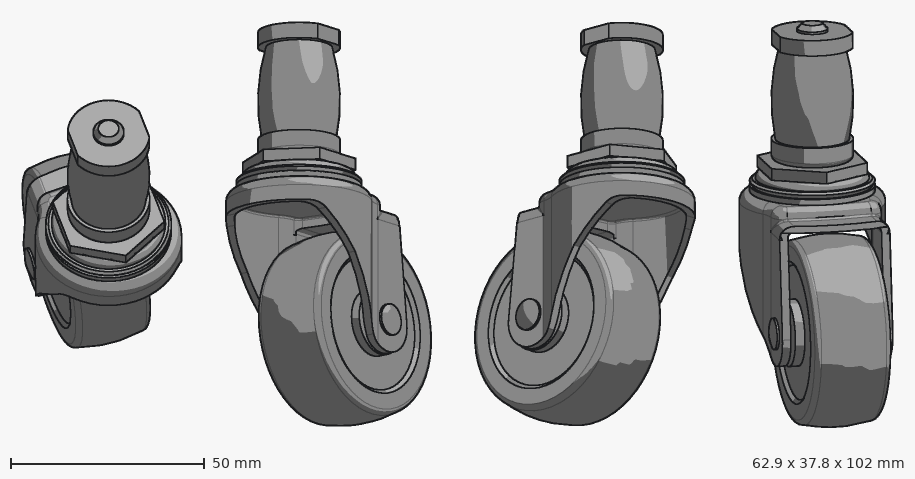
import cadquery as cq
import math


wheel_radius = 25.0
wheel_x = -19.0
wheel_half_width = 10.1
tread_edge_radius = 24.0
shoulder = 1.4
recess_outer_radius = 18.5
recess_inner_radius = 17.4
recess_depth = 1.0
hub_radius = 8.7
hub_half_width = 11.6

axle_radius = 3.1
head_radius = 4.1
head_rim = 0.6
head_dome = 0.9

sheet = 2.2
crown_radius = 18.9
crown_top = 57.6
crown_rounding = 2.9
crown_front_x = -18.6
crown_front_sag = 1.4
crown_corner_radius = 4.1
skirt_bottom = 50.8
leg_half_width = 14.7
leg_flat_end_x = -14.2
plate_top = 54.5
plate_thickness = 1.8
plate_root_radius = 0.6
plate_front_x = -25.3
plate_side_x = -23.1
bend_radius = 3.7
foot_x = -18.5
foot_z = 24.2
foot_radius = 7.8
rear_bend = (0.5, 38.8)
rear_top_x = 10.9
rear_rounding = 5.1

seat_radius = 16.2
seat_top = 59.2
lip_neck_radius = 15.5
lip_edge_z = 60.3
lip_top = 60.9
dome_radius = 14.7
nut_bottom = 62.8
dome_rounding = 1.6
nut_top = 65.9
nut_across_flats = 25.5
collar_radius = 10.6
collar_rounding = 1.4
collar_top = 71.4
barrel_bottom_radius = 9.6
barrel_middle_radius = 10.6
barrel_middle_z = 82.6
barrel_top_radius = 8.6
cap_bottom = 95.9
cap_top = 100.0
cap_half_flats = 9.7
nose_radius = 4.0
nose_top_radius = 2.7
nose_shoulder_z = 100.6
stem_top = 102.0


def place_on_axle(solid_about_y):
    """Move a solid turned about the Y axis onto the wheel axle."""
    return solid_about_y.translate((wheel_x, 0, wheel_radius))


def along_axle(radius, half_length):
    """Cylinder on the axle line, centred on Y = 0."""
    rod = cq.Workplane("XZ").circle(radius).extrude(half_length, both=True)
    return place_on_axle(rod)


def make_wheel():
    recess_y = wheel_half_width - recess_depth
    shoulder_y = wheel_half_width - shoulder
    side_radius = tread_edge_radius - shoulder
    shoulder_reach = shoulder * math.sqrt(0.5)
    shoulder_mid_radius = side_radius + shoulder_reach
    shoulder_mid_y = shoulder_y + shoulder_reach
    profile = (
        cq.Workplane("XY")
        .moveTo(0, -hub_half_width)
        .lineTo(hub_radius, -hub_half_width)
        .lineTo(hub_radius, -recess_y)
        .lineTo(recess_inner_radius, -recess_y)
        .lineTo(recess_outer_radius, -wheel_half_width)
        .lineTo(side_radius, -wheel_half_width)
        .threePointArc((shoulder_mid_radius, -shoulder_mid_y), (tread_edge_radius, -shoulder_y))
        .threePointArc((wheel_radius, 0), (tread_edge_radius, shoulder_y))
        .threePointArc((shoulder_mid_radius, shoulder_mid_y), (side_radius, wheel_half_width))
        .lineTo(recess_outer_radius, wheel_half_width)
        .lineTo(recess_inner_radius, recess_y)
        .lineTo(hub_radius, recess_y)
        .lineTo(hub_radius, hub_half_width)
        .lineTo(0, hub_half_width)
        .close()
    )
    turned = place_on_axle(profile.revolve(360, (0, 0, 0), (0, 1, 0)))
    return turned.cut(along_axle(axle_radius, hub_half_width))


def make_axle():
    rim_y = leg_half_width + head_rim
    tip_y = rim_y + head_dome
    dome_sphere = (head_radius**2 + head_dome**2) / (2 * head_dome)
    half_radius = head_radius / 2
    half_y = tip_y - dome_sphere + math.sqrt(dome_sphere**2 - half_radius**2)
    profile = (
        cq.Workplane("XY")
        .moveTo(0, -tip_y)
        .threePointArc((half_radius, -half_y), (head_radius, -rim_y))
        .lineTo(head_radius, -leg_half_width)
        .lineTo(axle_radius, -leg_half_width)
        .lineTo(axle_radius, leg_half_width)
        .lineTo(head_radius, leg_half_width)
        .lineTo(head_radius, rim_y)
        .threePointArc((half_radius, half_y), (0, tip_y))
        .close()
    )
    return place_on_axle(profile.revolve(360, (0, 0, 0), (0, 1, 0)))


def fork_plan(inset, front_x, front_sag, bottom, top):
    """Keyhole plan: round at the stem, flaring into two straight legs, with a curved front."""
    radius = crown_radius - inset
    half_width = leg_half_width - inset
    flare_radius = (leg_flat_end_x**2 + leg_half_width**2 - crown_radius**2) / (
        2 * (crown_radius - leg_half_width)
    )
    flare_y = leg_half_width + flare_radius
    inset_flare = flare_radius + inset
    tangent_angle = math.atan2(flare_y, leg_flat_end_x)
    tangent_x = radius * math.cos(tangent_angle)
    tangent_y = radius * math.sin(tangent_angle)
    middle_angle = (tangent_angle - 1.5 * math.pi) / 2
    middle_x = leg_flat_end_x + inset_flare * math.cos(middle_angle)
    middle_y = flare_y + inset_flare * math.sin(middle_angle)
    side_x = front_x + front_sag
    return (
        cq.Workplane("XY", origin=(0, 0, bottom))
        .moveTo(side_x, half_width)
        .lineTo(leg_flat_end_x, half_width)
        .threePointArc((middle_x, middle_y), (tangent_x, tangent_y))
        .threePointArc((radius, 0), (tangent_x, -tangent_y))
        .threePointArc((middle_x, -middle_y), (leg_flat_end_x, -half_width))
        .lineTo(side_x, -half_width)
        .threePointArc((front_x, 0), (side_x, half_width))
        .close()
        .extrude(top - bottom)
    )


def fork_envelope(inset):
    """Fork form before trimming; an inset form is the hollow inside the sheet."""
    plate_sag = plate_side_x - plate_front_x
    bend_bottom = plate_top - bend_radius
    plate_level = plate_top - plate_thickness if inset else plate_top
    lowest = foot_z - foot_radius
    open_front_x = foot_x - 2 * foot_radius
    front_x = open_front_x if inset else plate_front_x

    low_body = fork_plan(inset, open_front_x, plate_sag, lowest, bend_bottom)
    plate = (
        cq.Workplane("YZ", origin=(front_x, 0, 0))
        .rect(2 * (leg_half_width - inset), 2 * plate_level)
        .extrude(leg_flat_end_x - front_x)
        .edges("|X and >Z")
        .fillet(bend_radius - inset)
    )
    plate = plate.intersect(fork_plan(inset, front_x, plate_sag, bend_bottom, plate_level))
    crown = (
        fork_plan(inset, crown_front_x + inset, crown_front_sag, bend_bottom, crown_top - inset)
        .edges("|Z")
        .edges("<X")
        .fillet(crown_corner_radius - inset)
        .faces(">Z")
        .edges()
        .fillet(crown_rounding - inset)
    )
    return low_body.union(plate).union(crown)


def tangent_point(start, turn):
    """Point where a line from start touches the rounded leg end; turn (1 or -1) picks the side."""
    dx = start[0] - foot_x
    dz = start[1] - foot_z
    angle = math.atan2(dz, dx) + turn * math.acos(foot_radius / math.hypot(dx, dz))
    return foot_x + foot_radius * math.cos(angle), foot_z + foot_radius * math.sin(angle)


def leg_profile():
    """Side outline of the fork, as a block across its whole width."""
    front_top = (plate_side_x, plate_top - plate_thickness)
    front_limit = plate_front_x - sheet
    rear_limit = crown_radius + sheet
    top_limit = crown_top + sheet
    foot_bottom = (foot_x, foot_z - foot_radius)
    block = (
        cq.Workplane("XZ")
        .moveTo(front_limit, top_limit)
        .lineTo(front_limit, front_top[1])
        .lineTo(*front_top)
        .lineTo(*tangent_point(front_top, 1))
        .threePointArc(foot_bottom, tangent_point(rear_bend, -1))
        .lineTo(*rear_bend)
        .lineTo(rear_top_x, skirt_bottom)
        .lineTo(rear_limit, skirt_bottom)
        .lineTo(rear_limit, top_limit)
        .close()
        .extrude(rear_limit, both=True)
    )
    skirt_corner = cq.selectors.NearestToPointSelector((rear_top_x, 0, skirt_bottom))
    return block.edges("|Y").edges(skirt_corner).fillet(rear_rounding)


def make_fork():
    crown_root = cq.selectors.NearestToPointSelector((crown_front_x, 0, plate_top))
    outside = fork_envelope(0).edges(crown_root).fillet(plate_root_radius)
    shell = outside.cut(fork_envelope(sheet))
    return shell.intersect(leg_profile()).cut(along_axle(axle_radius, leg_half_width))


def make_stem():
    dome_side_z = nut_bottom - dome_rounding
    dome_mid = dome_rounding * math.sqrt(0.5)
    collar_mid = collar_rounding * math.sqrt(0.5)
    swivel = (
        cq.Workplane("XZ")
        .moveTo(0, crown_top)
        .lineTo(seat_radius, crown_top)
        .lineTo(seat_radius, seat_top)
        .lineTo(lip_neck_radius, seat_top)
        .lineTo(seat_radius, lip_edge_z)
        .lineTo(lip_neck_radius, lip_top)
        .lineTo(dome_radius, lip_top)
        .lineTo(dome_radius, dome_side_z)
        .threePointArc(
            (dome_radius - dome_rounding + dome_mid, dome_side_z + dome_mid),
            (dome_radius - dome_rounding, nut_bottom),
        )
        .lineTo(0, nut_bottom)
        .close()
        .revolve(360, (0, 0, 0), (0, 1, 0))
    )
    nut_corner_diameter = nut_across_flats / math.cos(math.pi / 6)
    nut = (
        cq.Workplane("XY", origin=(0, 0, nut_bottom))
        .polygon(6, nut_corner_diameter)
        .extrude(nut_top - nut_bottom)
    )
    collar_side_z = nut_top + collar_rounding
    collar_bottom_radius = collar_radius - collar_rounding
    post = (
        cq.Workplane("XZ")
        .moveTo(0, nut_top)
        .lineTo(collar_bottom_radius, nut_top)
        .threePointArc(
            (collar_bottom_radius + collar_mid, collar_side_z - collar_mid),
            (collar_radius, collar_side_z),
        )
        .lineTo(collar_radius, collar_top)
        .lineTo(barrel_bottom_radius, collar_top)
        .threePointArc((barrel_middle_radius, barrel_middle_z), (barrel_top_radius, cap_bottom))
        .lineTo(nose_radius, cap_bottom)
        .lineTo(nose_radius, nose_shoulder_z)
        .lineTo(nose_top_radius, stem_top)
        .lineTo(0, stem_top)
        .close()
        .revolve(360, (0, 0, 0), (0, 1, 0))
    )
    cap_height = cap_top - cap_bottom
    cap = cq.Workplane("XY", origin=(0, 0, cap_bottom)).circle(collar_radius).extrude(cap_height)
    flats = (
        cq.Workplane("XY", origin=(0, 0, cap_bottom))
        .rect(2 * collar_radius, 2 * cap_half_flats)
        .extrude(cap_height)
    )
    return swivel.union(nut).union(post).union(cap.intersect(flats))


wheel = make_wheel()
axle = make_axle()
fork = make_fork()
stem = make_stem()

result = cq.Compound.makeCompound([wheel.val(), axle.val(), fork.val(), stem.val()])